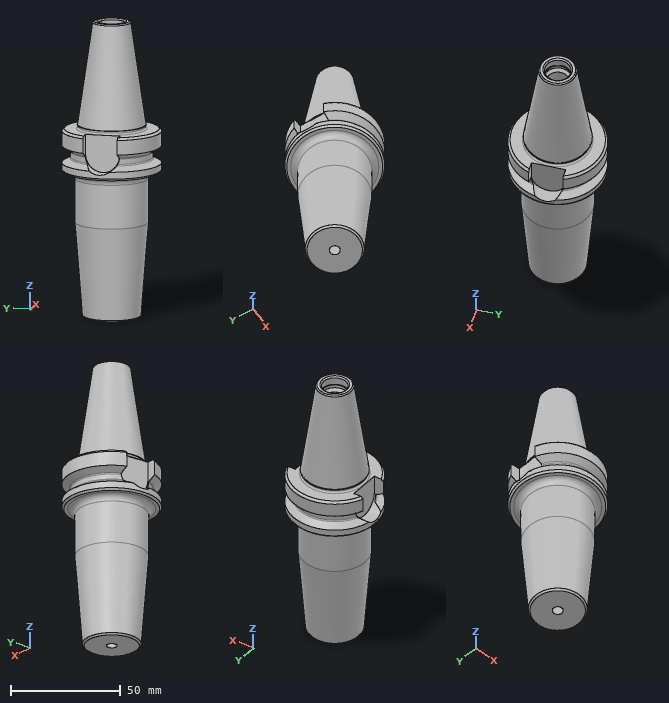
import cadquery as cq
import math

total_height = 138.4

gauge_height = 90.0
gauge_diameter = 31.7
gauge_radius = gauge_diameter / 2
taper_slope = 7 / 48
taper_top_chamfer = 0.5
taper_top_radius = gauge_radius - taper_slope * (total_height - gauge_height)

neck_radius = 15.4
neck_fillet = 0.8

flange_radius = 23.0
flange_top = 88.2
flange_bottom = 68.1
flange_top_chamfer = 1.1
flange_bottom_chamfer = 1.0
groove_radius = 19.0
groove_floor_top = 77.9
groove_floor_bottom = 74.6
groove_root_fillet = 0.7
groove_side_angle = 30.0
groove_side_height = (flange_radius - groove_radius) * math.tan(math.radians(groove_side_angle))

body_radius = 17.0
body_fillet = 3.2
cone_top = 44.4
cone_angle = 4.5
nose_chamfer = 0.8
nose_radius = body_radius - cone_top * math.tan(math.radians(cone_angle))

slot_width = 16.2
slot_floor_distance = 16.5
slot_bottom = 70.7

counterbore_radius = 6.1
counterbore_depth = 4.7
counterbore_chamfer = 0.7
relief_radius = 6.5
relief_width = 2.0
thread_bore_radius = 5.1
thread_bore_depth = 27.7
thread_bore_floor_chamfer = 0.7
through_hole_radius = 2.5


def arc_mid_offset(radius):
    """Offset, along each leg of a right-angled corner, of a fillet's midpoint."""
    return radius * (1 - math.sqrt(0.5))


def make_body():
    """Revolve the outer profile about the Z axis."""
    cone_slope = math.tan(math.radians(cone_angle))
    nose_chamfer_radius = nose_radius + nose_chamfer * cone_slope
    chamfer_height = total_height - taper_top_chamfer
    chamfer_radius = taper_top_radius + taper_top_chamfer * taper_slope
    body_fillet_mid = arc_mid_offset(body_fillet)
    neck_fillet_mid = arc_mid_offset(neck_fillet)
    profile = (
        cq.Workplane("XZ")
        .moveTo(0, 0)
        .lineTo(nose_radius - nose_chamfer, 0)
        .lineTo(nose_chamfer_radius, nose_chamfer)
        .lineTo(body_radius, cone_top)
        .lineTo(body_radius, flange_bottom - body_fillet)
        .threePointArc(
            (body_radius + body_fillet_mid, flange_bottom - body_fillet_mid),
            (body_radius + body_fillet, flange_bottom),
        )
        .lineTo(flange_radius - flange_bottom_chamfer, flange_bottom)
        .lineTo(flange_radius, flange_bottom + flange_bottom_chamfer)
        .lineTo(flange_radius, groove_floor_bottom - groove_side_height)
        .lineTo(groove_radius, groove_floor_bottom)
        .lineTo(groove_radius, groove_floor_top)
        .lineTo(flange_radius, groove_floor_top + groove_side_height)
        .lineTo(flange_radius, flange_top - flange_top_chamfer)
        .lineTo(flange_radius - flange_top_chamfer, flange_top)
        .lineTo(neck_radius + neck_fillet, flange_top)
        .threePointArc(
            (neck_radius + neck_fillet_mid, flange_top + neck_fillet_mid),
            (neck_radius, flange_top + neck_fillet),
        )
        .lineTo(neck_radius, gauge_height)
        .lineTo(gauge_radius, gauge_height)
        .lineTo(chamfer_radius, chamfer_height)
        .lineTo(taper_top_radius - taper_top_chamfer, total_height)
        .lineTo(0, total_height)
        .close()
    )
    body = profile.revolve(360, (0, 0, 0), (0, 1, 0))
    groove_roots = cq.selectors.BoxSelector(
        (-flange_radius, -flange_radius, groove_floor_bottom - groove_root_fillet),
        (flange_radius, flange_radius, groove_floor_top + groove_root_fillet),
    )
    return body.edges("%CIRCLE").edges(groove_roots).fillet(groove_root_fillet)


def make_bore():
    """Counterbore, relief groove, 45 degree seat, thread bore and through hole as one cutter."""
    relief_top = total_height - counterbore_depth
    relief_bottom = relief_top - relief_width
    seat_drop = relief_radius - thread_bore_radius
    floor_height = total_height - thread_bore_depth
    profile = (
        cq.Workplane("XZ")
        .moveTo(0, 0)
        .lineTo(through_hole_radius, 0)
        .lineTo(through_hole_radius, floor_height)
        .lineTo(thread_bore_radius - thread_bore_floor_chamfer, floor_height)
        .lineTo(thread_bore_radius, floor_height + thread_bore_floor_chamfer)
        .lineTo(thread_bore_radius, relief_bottom - seat_drop)
        .lineTo(relief_radius, relief_bottom)
        .lineTo(relief_radius, relief_top)
        .lineTo(counterbore_radius, relief_top)
        .lineTo(counterbore_radius, total_height - counterbore_chamfer)
        .lineTo(counterbore_radius + counterbore_chamfer, total_height)
        .lineTo(0, total_height)
        .close()
    )
    return profile.revolve(360, (0, 0, 0), (0, 1, 0))


def make_drive_slot(side):
    """Round-bottomed slot open at the flange top; side is +1 or -1 along X."""
    half_width = slot_width / 2
    arc_height = slot_bottom + half_width
    depth = flange_radius - slot_floor_distance
    return (
        cq.Workplane("YZ", origin=(side * slot_floor_distance, 0, 0))
        .moveTo(-half_width, flange_top)
        .lineTo(-half_width, arc_height)
        .threePointArc((0, slot_bottom), (half_width, arc_height))
        .lineTo(half_width, flange_top)
        .close()
        .extrude(side * depth)
    )


result = make_body().cut(make_bore())
for slot_side in (1, -1):
    result = result.cut(make_drive_slot(slot_side))